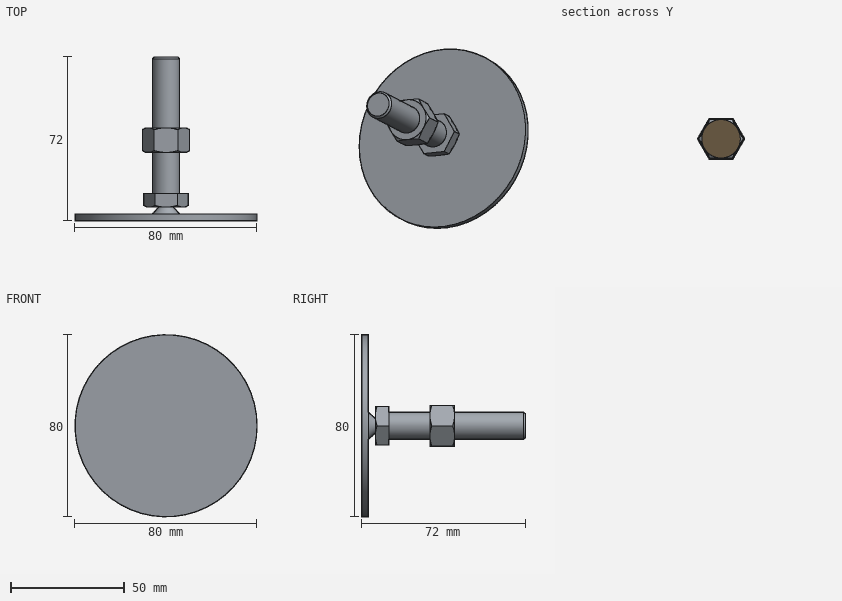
import cadquery as cq
import math

total_length = 72.0

plate_diameter = 80.0
head_base = 6.0
plate_thickness = head_base / 2
neck_height = head_base - plate_thickness
neck_base_diameter = 12.0
neck_top_diameter = 6.6

stud_diameter = 12.0
head_width = 17.0
head_height = 6.0
tip_chamfer_length = 1.0
tip_chamfer_depth = 0.8

nut_width = 18.0
nut_base = 30.0
nut_height = 10.8

corner_chamfer_angle = math.radians(30)


def disc(diameter, base, height):
    """Cylinder along +Y starting at y = base."""
    return cq.Workplane("XZ", origin=(0, base, 0)).circle(diameter / 2).extrude(-height)


def hexagon(width, base, height, chamfer_far_end):
    """Hexagonal prism along +Y, corners on X, with conically chamfered end corners."""
    corner_radius = width / math.sqrt(3)
    face_radius = width / 2
    drop = (corner_radius - face_radius) * math.tan(corner_chamfer_angle)
    top = base + height

    prism = (
        cq.Workplane("XZ", origin=(0, base, 0))
        .polygon(6, 2 * corner_radius)
        .extrude(-height)
    )
    envelope = (
        cq.Workplane("XY")
        .moveTo(0, base)
        .lineTo(face_radius, base)
        .lineTo(corner_radius, base + drop)
    )
    if chamfer_far_end:
        envelope = envelope.lineTo(corner_radius, top - drop).lineTo(face_radius, top)
    else:
        envelope = envelope.lineTo(corner_radius, top)
    envelope = envelope.lineTo(0, top).close().revolve(360, (0, 0, 0), (0, 1, 0))
    return prism.intersect(envelope)


def make_foot():
    """Round plate with a conical neck that meets the stud head."""
    neck = (
        cq.Workplane("XY")
        .moveTo(0, plate_thickness)
        .lineTo(neck_base_diameter / 2, plate_thickness)
        .lineTo(neck_top_diameter / 2, plate_thickness + neck_height)
        .lineTo(0, plate_thickness + neck_height)
        .close()
        .revolve(360, (0, 0, 0), (0, 1, 0))
    )
    return disc(plate_diameter, 0, plate_thickness).union(neck)


def make_stud():
    """Plain shank with a chamfered tip and a hexagonal head at the foot end."""
    head_top = head_base + head_height
    shank = (
        disc(stud_diameter, head_top, total_length - head_top)
        .faces(">Y")
        .edges()
        .chamfer(tip_chamfer_length, tip_chamfer_depth)
    )
    return hexagon(head_width, head_base, head_height, chamfer_far_end=False).union(shank)


def make_nut():
    """Hexagonal nut bored to fit the shank, chamfered at both ends."""
    blank = hexagon(nut_width, nut_base, nut_height, chamfer_far_end=True)
    return blank.cut(disc(stud_diameter, nut_base, nut_height))


foot = make_foot()
stud = make_stud()
nut = make_nut()

result = cq.Compound.makeCompound([foot.val(), stud.val(), nut.val()])